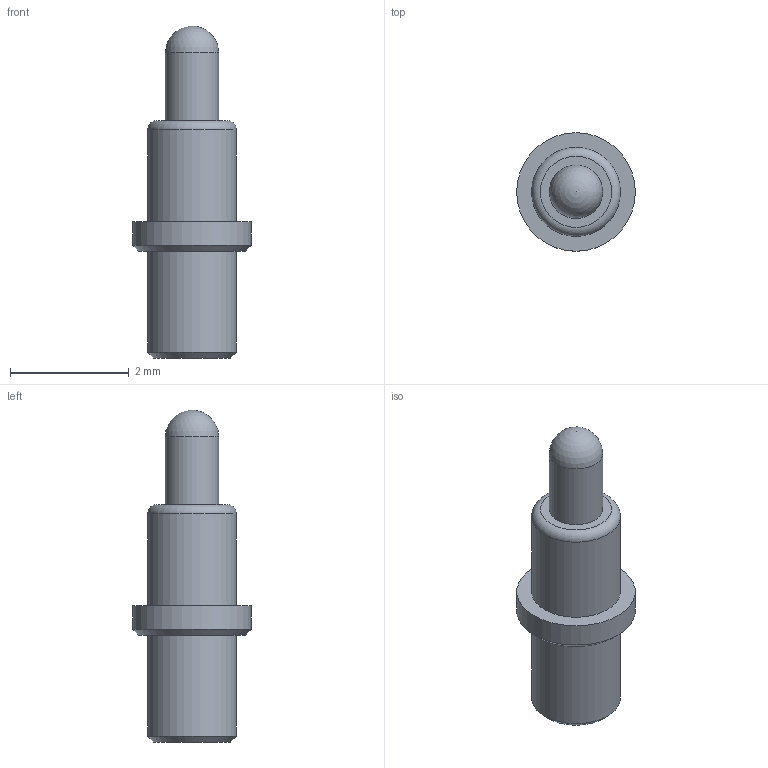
import cadquery as cq

barrel_diameter = 1.5
flange_diameter = 2.0
plunger_diameter = 0.9

tail_length = 1.8
flange_thickness = 0.5
barrel_top = 4.0
total_height = 5.6

barrel_fillet = 0.15
flange_chamfer = 0.1
foot_chamfer = 0.1


def make_barrel():
    """Cylindrical body with a chamfered foot and a rounded upper rim."""
    barrel = cq.Workplane("XY").circle(barrel_diameter / 2).extrude(barrel_top)
    barrel = barrel.faces("<Z").edges().chamfer(foot_chamfer)
    return barrel.faces(">Z").edges().fillet(barrel_fillet)


def make_flange():
    """Collar that stops the pin on its board, chamfered underneath."""
    flange = (
        cq.Workplane("XY")
        .workplane(offset=tail_length)
        .circle(flange_diameter / 2)
        .extrude(flange_thickness)
    )
    return flange.faces("<Z").edges().chamfer(flange_chamfer)


def make_plunger():
    """Contact plunger with a hemispherical tip, rooted inside the barrel."""
    radius = plunger_diameter / 2
    tip_center_z = total_height - radius
    root_z = tail_length
    shank = (
        cq.Workplane("XY")
        .workplane(offset=root_z)
        .circle(radius)
        .extrude(tip_center_z - root_z)
    )
    tip = cq.Workplane("XY").sphere(radius).translate((0, 0, tip_center_z))
    return shank.union(tip)


result = make_barrel().union(make_flange()).union(make_plunger())